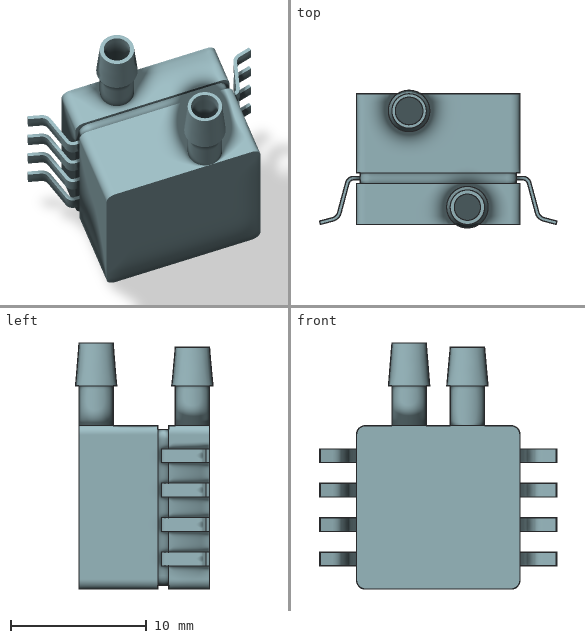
import cadquery as cq
import math

HOUSING_SIDE = 12.07
HOUSING_DEPTH = 9.66
CORNER_RADIUS = 0.68
FRONT_BLOCK_DEPTH = 3.03
WAIST_DEPTH = 0.79
WAIST_INSET = 0.28

HOUSING_TOP = HOUSING_SIDE / 2
FRONT_FACE_Y = -HOUSING_DEPTH / 2
WAIST_FRONT_Y = FRONT_FACE_Y + FRONT_BLOCK_DEPTH
WAIST_SIDE = HOUSING_SIDE - 2 * WAIST_INSET

PORT_RADIUS = 1.27
BARB_RADIUS = 1.53
BARB_BASE_HEIGHT = 2.92
PORT_OFFSET_X = 2.15
PORT_OFFSET_Y = 3.55
BACK_PORT_HEIGHT = 6.09
FRONT_PORT_HEIGHT = 5.79
BACK_BORE_RADIUS = 1.02
FRONT_BORE_RADIUS = 0.97

LEAD_COUNT = 4
LEAD_PITCH = 2.54
LEAD_WIDTH = 1.02
LEAD_THICKNESS = 0.27
SHOULDER_INNER_BEND = 0.35
ANKLE_INNER_BEND = 0.55
LEAD_SPAN = 17.53
LEAD_SLOPE = math.radians(15)
LEAD_FOOT_LENGTH = 1.38
LEAD_EMBED = 0.5


def block(side, depth, front_y):
    """Square block with rounded corners, running back from front_y."""
    plate = cq.Workplane("XZ", origin=(0, front_y, 0)).rect(side, side).extrude(-depth)
    return plate.edges("|Y").fillet(CORNER_RADIUS)


def housing():
    body = block(HOUSING_SIDE, HOUSING_DEPTH, FRONT_FACE_Y)
    waist_slice = cq.Workplane("XZ", origin=(0, WAIST_FRONT_Y, 0))
    surround = waist_slice.rect(2 * HOUSING_SIDE, 2 * HOUSING_SIDE).extrude(-WAIST_DEPTH)
    return body.cut(surround.cut(block(WAIST_SIDE, WAIST_DEPTH, WAIST_FRONT_Y)))


def port(x, y, height, bore_radius):
    """Tube with a tapered barb at its tip, bored down to the top of the housing."""
    half_section = [
        (bore_radius, 0),
        (PORT_RADIUS, 0),
        (PORT_RADIUS, BARB_BASE_HEIGHT),
        (BARB_RADIUS, BARB_BASE_HEIGHT),
        (PORT_RADIUS, height),
        (bore_radius, height),
    ]
    tube = cq.Workplane("XZ").polyline(half_section).close().revolve(360, (0, 0), (0, 1))
    return tube.translate((x, y, HOUSING_TOP))


def right_lead():
    """Bent strip on the +X side, centred on Z = 0."""
    half = LEAD_THICKNESS / 2
    sine = math.sin(LEAD_SLOPE)
    cosine = math.cos(LEAD_SLOPE)

    root_x = WAIST_SIDE / 2 - LEAD_EMBED
    shoulder_y = WAIST_FRONT_Y + WAIST_DEPTH / 2
    toe_x = LEAD_SPAN / 2 - half * sine
    toe_y = FRONT_FACE_Y + half * cosine
    ankle_x = toe_x - LEAD_FOOT_LENGTH * cosine
    ankle_y = toe_y + LEAD_FOOT_LENGTH * sine
    shoulder_x = ankle_x - (shoulder_y - ankle_y) * math.tan(LEAD_SLOPE)

    shoulder_turn = math.pi / 2 - LEAD_SLOPE
    shoulder_miter = half * math.tan(shoulder_turn / 2)
    ankle_turn = math.pi / 2 - 2 * LEAD_SLOPE
    ankle_miter = half * math.tan(ankle_turn / 2)
    ankle_offset_x = half * cosine - ankle_miter * sine
    ankle_offset_y = half * sine + ankle_miter * cosine

    outline = [
        (root_x, shoulder_y + half),
        (shoulder_x + shoulder_miter, shoulder_y + half),
        (ankle_x + ankle_offset_x, ankle_y + ankle_offset_y),
        (toe_x + half * sine, toe_y + half * cosine),
        (toe_x - half * sine, toe_y - half * cosine),
        (ankle_x - ankle_offset_x, ankle_y - ankle_offset_y),
        (shoulder_x - shoulder_miter, shoulder_y - half),
        (root_x, shoulder_y - half),
    ]
    strip = cq.Workplane("XY").polyline(outline).close().extrude(LEAD_WIDTH / 2, both=True)

    bends = [
        (1, SHOULDER_INNER_BEND + LEAD_THICKNESS),
        (2, ANKLE_INNER_BEND),
        (5, ANKLE_INNER_BEND + LEAD_THICKNESS),
        (6, SHOULDER_INNER_BEND),
    ]
    for corner, radius in bends:
        x, y = outline[corner]
        strip = strip.edges(cq.selectors.NearestToPointSelector((x, y, 0))).fillet(radius)
    return strip


def leads():
    lead = right_lead()
    pair = lead.union(lead.mirror("YZ"))
    lowest = -LEAD_PITCH * (LEAD_COUNT - 1) / 2
    rows = cq.Workplane("XY")
    for row in range(LEAD_COUNT):
        rows = rows.add(pair.translate((0, 0, lowest + row * LEAD_PITCH)))
    return rows.combine()


result = housing()
result = result.union(port(-PORT_OFFSET_X, PORT_OFFSET_Y, BACK_PORT_HEIGHT, BACK_BORE_RADIUS))
result = result.union(port(PORT_OFFSET_X, -PORT_OFFSET_Y, FRONT_PORT_HEIGHT, FRONT_BORE_RADIUS))
result = result.union(leads())